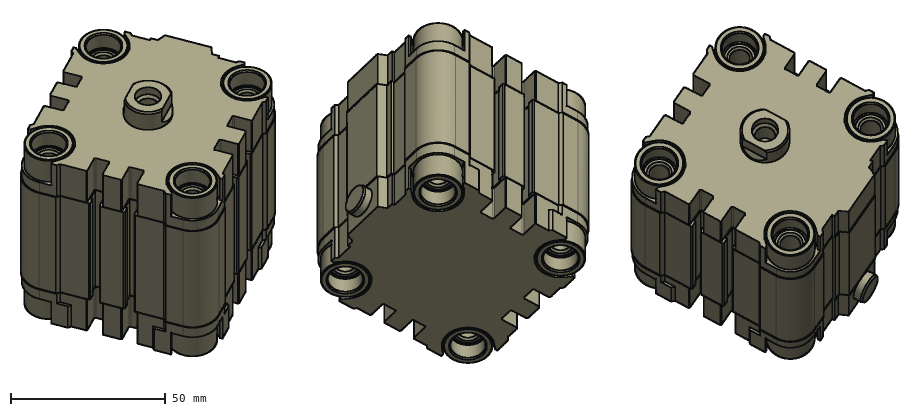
import cadquery as cq
import math

housing_height = 70.5
total_height = 78.0
cap_height = 14.0
barrel_half = 34.0
cap_half = 33.7
barrel_face = 32.9
cap_face = 32.75
corner_offset = 24.9
top_cap_base = housing_height - cap_height

recess_half_width = 17.95
foot_recess_half_width = 14.05
foot_height = 9.5

ridge_top_barrel = 37.0
ridge_top_cap = 36.65
ridge_top_half_width = 8.0
ridge_base_half_width = 9.4
ridge_shoulder_half_width = 11.85

slot_offset = 6.0
cap_slot_floor = 26.05
barrel_slot_floor = 26.3
cap_slot_width = 5.2
cap_slot_chamfer = 0.3
slot_floor_radius = 0.5
barrel_slot_width = 4.5
slot_mouth_width = 3.2
lip_inner_face = 30.5
lip_chamfer = 0.5

boss_diameter = 16.0
boss_chamfer = 0.3
pocket_diameter = 17.0
pocket_depth = 9.5
pocket_side_offset = 4.1
bore_diameter = 11.4
bore_depth = 6.25
bore_chamfer = 0.5
step_diameter = 10.1
step_depth = 0.3
countersink_diameter = 8.1
through_diameter = 6.6

stub_diameter = 10.1
stub_tip_diameter = 9.4
stub_tip_length = 0.7
stub_end = 40.0
stub_height = 8.3

rod_diameter = 16.0
rod_chamfer = 0.55
rod_insertion = cap_height
flat_distance = 13.0
flat_base = 2.35
rod_counterbore_diameter = 8.5
rod_counterbore_depth = 3.1
rod_bore_diameter = 6.6
rod_bore_depth = 11.7

overshoot = 0.8
slotted_sides = (-90, 0, 90)
corners = [(sx, sy) for sx in (-1, 1) for sy in (-1, 1)]


def prism(points, base, height):
    """Vertical prism over a closed outline."""
    return cq.Workplane("XY").workplane(offset=base).polyline(points).close().extrude(height)


def cylinder(diameter, base, height):
    return cq.Workplane("XY").workplane(offset=base).circle(diameter / 2).extrude(height)


def cone(lower_diameter, upper_diameter, base, height):
    outline = [(0, base), (lower_diameter / 2, base), (upper_diameter / 2, base + height), (0, base + height)]
    return cq.Workplane("XZ").polyline(outline).close().revolve(360, (0, 0), (0, 1))


def cut_on_slotted_sides(block, tool):
    """Cut a tool made for the -Y side out of the -X, -Y and +X sides."""
    for turn in slotted_sides:
        block = block.cut(tool.rotate((0, 0, 0), (0, 0, 1), turn))
    return block


def side_recess(half, face, floor_half_width, base, height):
    """Recess of the -Y side with 45 degree flanks."""
    outer = half + overshoot
    outer_half_width = floor_half_width + outer - face
    return prism(
        [
            (-floor_half_width, -face),
            (floor_half_width, -face),
            (outer_half_width, -outer),
            (-outer_half_width, -outer),
        ],
        base,
        height,
    )


def ridge_side_recess(half, face, base, height):
    """Recess of the +Y side to the right of the ridge."""
    outer = half + overshoot
    outer_half_width = recess_half_width + outer - face
    return prism(
        [
            (ridge_shoulder_half_width, face),
            (recess_half_width, face),
            (outer_half_width, outer),
            (ridge_shoulder_half_width, outer),
        ],
        base,
        height,
    )


def ridge(half, top, base, height):
    root = half - overshoot
    return prism(
        [
            (-ridge_base_half_width, root),
            (-ridge_base_half_width, half),
            (-ridge_top_half_width, top),
            (ridge_top_half_width, top),
            (ridge_base_half_width, half),
            (ridge_base_half_width, root),
        ],
        base,
        height,
    )


def profile_block(half, face, ridge_top, base, height):
    """Square block with rounded corners, a ridge on +Y and recesses beside the ridge."""
    block = cq.Workplane("XY").workplane(offset=base).rect(2 * half, 2 * half).extrude(height)
    block = block.edges("|Z").fillet(half - corner_offset)
    right_recess = ridge_side_recess(half, face, base, height)
    block = block.cut(right_recess).cut(right_recess.mirror("YZ"))
    return block.union(ridge(half, ridge_top, base, height))


def mirrored_outline(right_half, centre):
    """Closed outline from its right half, mirrored about the line x = centre."""
    left_half = [(-x, y) for x, y in reversed(right_half)]
    return [(centre + x, y) for x, y in right_half + left_half]


def cap_slot(centre, base, height):
    """Plain slot of the -Y side with a chamfered mouth and rounded floor corners."""
    wall = cap_slot_width / 2
    mouth = wall + cap_slot_chamfer
    right_half = [
        (wall, -cap_slot_floor),
        (wall, -cap_face + cap_slot_chamfer),
        (mouth, -cap_face),
        (mouth, -cap_face - overshoot),
    ]
    slot = prism(mirrored_outline(right_half, centre), base, height)
    return slot.edges("|Z and >Y").fillet(slot_floor_radius)


def barrel_slot(centre, base, height):
    """T-shaped slot of the -Y side, narrowed at its mouth by two lips."""
    wall = barrel_slot_width / 2
    throat = slot_mouth_width / 2
    mouth = throat + lip_chamfer
    right_half = [
        (wall, -barrel_slot_floor),
        (wall, -lip_inner_face),
        (throat, -lip_inner_face),
        (throat, -barrel_face + lip_chamfer),
        (mouth, -barrel_face),
        (mouth, -barrel_face - overshoot),
    ]
    return prism(mirrored_outline(right_half, centre), base, height)


def make_barrel():
    height = housing_height - 2 * cap_height
    barrel = profile_block(barrel_half, barrel_face, ridge_top_barrel, cap_height, height)
    recess = side_recess(barrel_half, barrel_face, recess_half_width, cap_height, height)
    barrel = cut_on_slotted_sides(barrel, recess)
    for centre in (-slot_offset, slot_offset):
        barrel = cut_on_slotted_sides(barrel, barrel_slot(centre, cap_height, height))
    return barrel


def make_cap(base, foot):
    """End cap; foot is the height up to which the recesses are narrowed."""
    cap = profile_block(cap_half, cap_face, ridge_top_cap, base, cap_height)
    wide_recess = side_recess(cap_half, cap_face, recess_half_width, base + foot, cap_height - foot)
    cap = cut_on_slotted_sides(cap, wide_recess)
    if foot > 0:
        foot_recess = side_recess(cap_half, cap_face, foot_recess_half_width, base, foot)
        cap = cut_on_slotted_sides(cap, foot_recess)
    for centre in (-slot_offset, slot_offset):
        cap = cut_on_slotted_sides(cap, cap_slot(centre, base, cap_height))
    return cap


def corner_pocket():
    """Pocket at the top of the +X +Y corner, open outward, with 45 degree tangent walls."""
    tangent = pocket_diameter / 2 * math.sqrt(0.5)
    bend = 2 * tangent - pocket_side_offset
    far = barrel_half - corner_offset + overshoot
    base = housing_height - pocket_depth
    opening = prism(
        [
            (-tangent, tangent),
            (-pocket_side_offset, bend),
            (-pocket_side_offset, far),
            (far, far),
            (far, -pocket_side_offset),
            (bend, -pocket_side_offset),
            (tangent, -tangent),
        ],
        base,
        pocket_depth,
    )
    return opening.union(cylinder(pocket_diameter, base, pocket_depth))


def corner_boss():
    boss = cylinder(boss_diameter, housing_height - pocket_depth, pocket_depth)
    return boss.faces(">Z").chamfer(boss_chamfer)


def corner_hole():
    """Stepped hole from the top down to half the housing height."""
    bore_floor = housing_height - bore_depth
    step_floor = bore_floor - step_depth
    countersink_depth = (countersink_diameter - through_diameter) / 2
    hole = cylinder(through_diameter, housing_height / 2, housing_height / 2)
    hole = hole.union(
        cone(through_diameter, countersink_diameter, step_floor - countersink_depth, countersink_depth)
    )
    hole = hole.union(cylinder(step_diameter, step_floor, step_depth))
    hole = hole.union(cylinder(bore_diameter, bore_floor, bore_depth))
    return hole.union(
        cone(bore_diameter, bore_diameter + 2 * bore_chamfer, housing_height - bore_chamfer, bore_chamfer)
    )


def place_at_corners(tool):
    """Copies of a +X +Y corner tool at the four corners, for the top and the bottom."""
    moved = tool.translate((corner_offset, corner_offset, 0))
    copies = []
    for sx, sy in corners:
        upper = moved if sx > 0 else moved.mirror("YZ")
        upper = upper if sy > 0 else upper.mirror("XZ")
        lower = upper.mirror("XY").translate((0, 0, housing_height))
        copies += [upper, lower]
    return copies


def port_stub():
    tip_start = stub_end - stub_tip_length
    outline = [
        (0, cap_half),
        (stub_diameter / 2, cap_half),
        (stub_diameter / 2, tip_start),
        (stub_tip_diameter / 2, stub_end),
        (0, stub_end),
    ]
    stub = cq.Workplane("XY").polyline(outline).close().revolve(360, (0, 0), (0, 1))
    return stub.translate((0, 0, stub_height))


def make_housing():
    body = make_barrel().union(make_cap(0, foot_height)).union(make_cap(top_cap_base, 0))
    for pocket in place_at_corners(corner_pocket()):
        body = body.cut(pocket)
    for boss in place_at_corners(corner_boss()):
        body = body.union(boss)
    for hole in place_at_corners(corner_hole()):
        body = body.cut(hole)
    body = body.union(port_stub())
    rod_seat = cylinder(rod_diameter, housing_height - rod_insertion, rod_insertion)
    return body.cut(rod_seat)


def wrench_flat():
    """Cutter for the +X flat, ending in a 45 degree slope."""
    flat = flat_distance / 2
    base = housing_height + flat_base
    reach = rod_diameter / 2 + overshoot
    top = total_height + overshoot
    outline = [(flat, base), (flat, top), (reach, top), (reach, base - (reach - flat))]
    return cq.Workplane("XZ").polyline(outline).close().extrude(rod_diameter / 2, both=True)


def make_rod():
    base = housing_height - rod_insertion
    rod = cylinder(rod_diameter, base, total_height - base)
    rod = rod.faces(">Z").edges().chamfer(rod_chamfer)
    flat = wrench_flat()
    rod = rod.cut(flat).cut(flat.mirror("YZ"))

    counterbore_floor = total_height - rod_counterbore_depth
    cone_depth = (rod_counterbore_diameter - rod_bore_diameter) / 2
    rod = rod.cut(cylinder(rod_counterbore_diameter, counterbore_floor, rod_counterbore_depth))
    shoulder = cone(rod_bore_diameter, rod_counterbore_diameter, counterbore_floor - cone_depth, cone_depth)
    rod = rod.cut(shoulder)
    return rod.cut(cylinder(rod_bore_diameter, total_height - rod_bore_depth, rod_bore_depth))


housing = make_housing()
piston_rod = make_rod()

result = cq.Compound.makeCompound([housing.solids().val(), piston_rod.solids().val()])